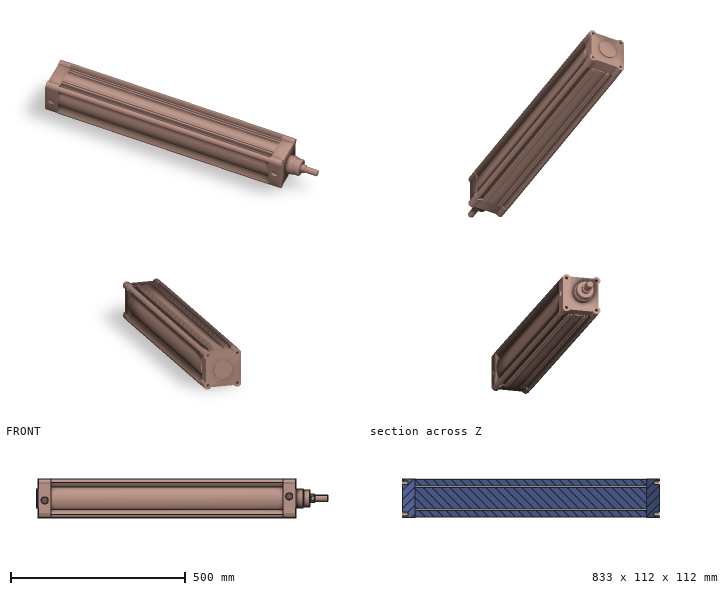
import cadquery as cq
import math


side = 112.0
half_side = side / 2
total_length = 833.0
rear_boss_height = 4.0
cap_length = 37.5
tube_length = 662.0
tube_start = rear_boss_height + cap_length
tube_end = tube_start + tube_length

bolt_spacing = 89.0
bolt_offset = bolt_spacing / 2
lobe_radius = half_side - bolt_offset
lobe_recess = 6.0
inner_half = half_side - lobe_recess
bolt_hole_diameter = 9.0
bolt_hole_depth = 17.0
port_diameter = 20.0
port_depth = 17.0
port_height = 6.0
port_inset = 19.0
boss_diameter = 54.0

collar_length = 22.5
nose_diameter = 49.0
nose_length = 18.0
collar_chamfer = 2.5
nose_chamfer = 2.0
nose_end = tube_end + cap_length + collar_length + nose_length

barrel_radius = 52.5
corner_count = 4
corner_radius = 10.0
rib_width = 2.5
rib_offsets = (20.0, 27.5)
rail_floor = 51.0
rail_inner = 17.5
rail_outer = rib_offsets[1] + rib_width / 2
ledge_outer = 34.0
ledge_top = 45.0
ledge_bottom = 43.0

rod_diameter = 25.0
rod_shoulder_length = 13.0
flat_width = 22.0
flat_start = 2.5
rod_chamfer = 2.5
thread_diameter = 18.0
thread_chamfer = 2.0


def cylinder(start, length, diameter):
    """Round bar on the part's axis, from X = start."""
    return cq.Workplane("YZ", origin=(start, 0, 0)).circle(diameter / 2).extrude(length)


def end_cap(start, bolt_face, port_x, port_z):
    """Block with a round lobe at each corner, flush on -Y and set back between lobes elsewhere."""
    plane = cq.Workplane("YZ", origin=(start, 0, 0))
    block_width = bolt_offset + inner_half
    block = plane.center((inner_half - bolt_offset) / 2, 0)
    cap = block.rect(block_width, 2 * inner_half).extrude(cap_length)
    cheek = plane.center(-(half_side + bolt_offset) / 2, 0)
    cap = cap.union(cheek.rect(lobe_radius, bolt_spacing).extrude(cap_length))
    for y in (-bolt_offset, bolt_offset):
        for z in (-bolt_offset, bolt_offset):
            corner = cq.Workplane("YZ", origin=(start, y, z))
            cap = cap.union(corner.circle(lobe_radius).extrude(cap_length))
    inward = 1 if bolt_face == start else -1
    bolts = cq.Workplane("YZ", origin=(bolt_face, 0, 0))
    bolts = bolts.rect(bolt_spacing, bolt_spacing, forConstruction=True).vertices()
    cap = cap.cut(bolts.circle(bolt_hole_diameter / 2).extrude(inward * bolt_hole_depth))
    port = cq.Workplane("XZ", origin=(port_x, -half_side, port_z)).circle(port_diameter / 2)
    return cap.cut(port.extrude(-port_depth))


def make_rear_cap():
    """Rear cap with a low round boss behind it; its port sits below the axis."""
    port_x = rear_boss_height + port_inset
    cap = end_cap(rear_boss_height, rear_boss_height, port_x, -port_height)
    return cap.union(cylinder(0, tube_start, boss_diameter))


def make_front_cap():
    """Front cap with a collar and a narrower nose; its port sits above the axis."""
    front_face = tube_end + cap_length
    cap = end_cap(tube_end, front_face, front_face - port_inset, port_height)
    collar = cylinder(front_face, collar_length, boss_diameter).faces(">X").chamfer(collar_chamfer)
    nose = cylinder(front_face + collar_length, nose_length, nose_diameter)
    nose = nose.faces(">X").chamfer(nose_chamfer)
    return cap.union(collar).union(nose)


def sensor_rail(plane, y_sign, z_sign):
    """Two thin ribs on a low pedestal, with a sloping ledge out to the corner bar."""
    outline = [
        (rail_inner, 0),
        (rail_inner, rail_floor),
        (rail_outer, rail_floor),
        (rail_outer, ledge_top),
        (ledge_outer, ledge_bottom),
        (ledge_outer, 0),
    ]
    rail = plane.polyline([(y_sign * y, z_sign * z) for y, z in outline]).close().extrude(tube_length)
    for offset in rib_offsets:
        rib = plane.center(y_sign * offset, z_sign * half_side / 2).rect(rib_width, half_side)
        rail = rail.union(rib.extrude(tube_length))
    return rail


def make_tube():
    """Round barrel with a diagonal bar to each corner and sensor rails on the top and bottom."""
    plane = cq.Workplane("YZ", origin=(tube_start, 0, 0))
    tube = plane.circle(barrel_radius).extrude(tube_length)
    flank = half_side - corner_radius
    bulge = flank + corner_radius * math.sqrt(0.5)
    for quarter in range(corner_count):
        bar = (
            plane.moveTo(0, corner_radius)
            .lineTo(flank, half_side)
            .threePointArc((bulge, bulge), (half_side, flank))
            .lineTo(corner_radius, 0)
            .close()
            .extrude(tube_length)
        )
        tube = tube.union(bar.rotate((0, 0, 0), (1, 0, 0), 360 / corner_count * quarter))
    for y_sign in (-1, 1):
        for z_sign in (-1, 1):
            tube = tube.union(sensor_rail(plane, y_sign, z_sign))
    return tube


def make_rod():
    """Shoulder with two wrench flats, carrying a thinner threaded end."""
    shoulder_end = nose_end + rod_shoulder_length
    shoulder = cylinder(nose_end, rod_shoulder_length, rod_diameter).faces(">X").chamfer(rod_chamfer)
    flat_length = rod_shoulder_length - flat_start
    flat_middle = shoulder_end - flat_length / 2
    for y_sign in (-1, 1):
        waste = cq.Workplane("XY", origin=(flat_middle, y_sign * (flat_width + rod_diameter) / 2, 0))
        shoulder = shoulder.cut(waste.box(flat_length, rod_diameter, rod_diameter))
    thread = cylinder(shoulder_end, total_length - shoulder_end, thread_diameter)
    thread = thread.faces(">X").chamfer(thread_chamfer)
    return shoulder.union(thread)


rear_cap = make_rear_cap().solids().val()
tube = make_tube().solids().val()
front_cap = make_front_cap().solids().val()
rod = make_rod().solids().val()

result = cq.Compound.makeCompound([rear_cap, tube, front_cap, rod])